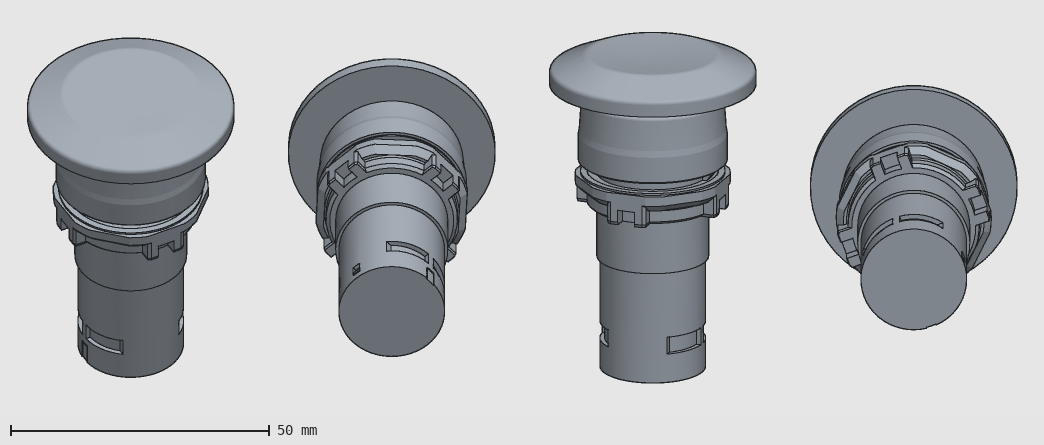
import cadquery as cq
import math

RIM_BOTTOM = 57.7
TOTAL_HEIGHT = 63.8
COLLAR_TOP = 55.5
COLLAR_BOTTOM = 42.05
NUT_TOP = 40.05
NUT_BOTTOM = 33.25
BODY_STEP = 22.6

CAP_RADIUS = 40.0 / 2
CAP_DISH_RADIUS = 12.4
CAP_DISH_DEPTH = 0.45
CAP_CONE_TOP_RADIUS = 13.6
CAP_CONE_ANGLE = math.radians(23.4)
CAP_RIM_FILLET = 1.0

NECK_RADIUS = 23.6 / 2
COLLAR_RADIUS = 28.9 / 2
COLLAR_STEP_RADIUS = 27.8 / 2
COLLAR_STEP = 0.4
COLLAR_BAND_TOP = 47.45
COLLAR_TAPER_BOTTOM = 48.75
COLLAR_TAPER_RADIUS = 14.2
COLLAR_SHOULDER_RADIUS = 13.85
COLLAR_TOP_FILLET = 0.9
BODY_RADIUS = 21.7 / 2
REAR_RADIUS = 20.5 / 2

NUT_SIDES = 8
NUT_ACROSS_FLATS = 28.9
NUT_CORNER_RADIUS = 15.0
NUT_RING_RADIUS = 28.0 / 2
NUT_RING_HEIGHT = 0.4
NUT_FLANGE_BOTTOM = 37.75
NUT_UNDERCUT = 1.4
HUB_RADIUS = 25.4 / 2
HUB_BOTTOM_RADIUS = 24.0 / 2
HUB_FLARE = 0.3
NUT_RECESS_RADIUS = HUB_RADIUS
NUT_RECESS_DEPTH = 0.3
LUG_COUNT = 4
LUG_WIDTH = 7.9
LUG_CORNER_WIDTH = 0.7
LUG_CORNER_DEPTH = 0.3
LUG_BEVEL_DEPTH = 0.2
BOTTOM_BEVEL_HEIGHT = 0.6
NOTCH_WIDTH = 3.45
NOTCH_HEIGHT = 3.0

TAB_WIDTH = 2.7
TAB_THICKNESS = 1.0
TAB_LENGTH = 3.2
TAB_LEAN = 35.0
TAB_TIP_Y = 12.05
TAB_TIP_Z = 41.15

SLOT_FLOOR_RADIUS = 9.3
SLOT_BOTTOM = 5.8
SLOT_HEIGHT = 3.45
SLOT_INNER_X = 0.7
SLOT_INNER_Y = 6.1
LABEL_WIDTH = 2.0
LABEL_HEIGHT = 4.0
LABEL_DEPTH = 0.2
POCKET_WIDTH = 1.6
POCKET_BOTTOM = 2.05
POCKET_RAMP_BOTTOM = 3.1
POCKET_TOP = 4.65
POCKET_SHALLOW = 0.2
POCKET_DEEP = 0.75
CUT_CLEARANCE = 0.65


def cylinder(radius, bottom, top):
    return cq.Workplane("XY").workplane(offset=bottom).circle(radius).extrude(top - bottom)


def revolve_profile(profile):
    """Turn a closed radius/height outline, drawn in XZ, around the Z axis."""
    return profile.close().revolve(360, (0, 0, 0), (0, 1, 0))


def make_cap():
    """Mushroom head with a dished top; both rounds run tangent into the cone."""
    sine = math.sin(CAP_CONE_ANGLE)
    cosine = math.cos(CAP_CONE_ANGLE)
    half_sine = math.sin(CAP_CONE_ANGLE / 2)
    half_cosine = math.cos(CAP_CONE_ANGLE / 2)
    top_round = (CAP_CONE_TOP_RADIUS - CAP_DISH_RADIUS) / sine
    cone_top_z = TOTAL_HEIGHT - top_round * (1 - cosine)
    top_round_middle = (
        CAP_DISH_RADIUS + top_round * half_sine,
        TOTAL_HEIGHT - top_round * (1 - half_cosine),
    )

    rim_center_r = CAP_RADIUS - CAP_RIM_FILLET
    cone_bottom_r = rim_center_r + CAP_RIM_FILLET * sine
    cone_bottom_z = cone_top_z - (cone_bottom_r - CAP_CONE_TOP_RADIUS) * math.tan(CAP_CONE_ANGLE)
    rim_center_z = cone_bottom_z - CAP_RIM_FILLET * cosine
    rim_middle_angle = (math.pi / 2 - CAP_CONE_ANGLE) / 2
    rim_middle = (
        rim_center_r + CAP_RIM_FILLET * math.cos(rim_middle_angle),
        rim_center_z + CAP_RIM_FILLET * math.sin(rim_middle_angle),
    )

    dish_sphere = (CAP_DISH_RADIUS**2 + CAP_DISH_DEPTH**2) / (2 * CAP_DISH_DEPTH)
    dish_middle_r = CAP_DISH_RADIUS / 2
    dish_bottom_z = TOTAL_HEIGHT - CAP_DISH_DEPTH
    dish_middle_z = dish_bottom_z + dish_sphere - math.sqrt(dish_sphere**2 - dish_middle_r**2)

    return revolve_profile(
        cq.Workplane("XZ")
        .moveTo(0, RIM_BOTTOM)
        .lineTo(CAP_RADIUS, RIM_BOTTOM)
        .lineTo(CAP_RADIUS, rim_center_z)
        .threePointArc(rim_middle, (cone_bottom_r, cone_bottom_z))
        .lineTo(CAP_CONE_TOP_RADIUS, cone_top_z)
        .threePointArc(top_round_middle, (CAP_DISH_RADIUS, TOTAL_HEIGHT))
        .threePointArc((dish_middle_r, dish_middle_z), (0, dish_bottom_z))
    )


def make_collar():
    """Bezel collar: straight band, tapered upper part and rounded top edge."""
    fillet_bottom = COLLAR_TOP - COLLAR_TOP_FILLET
    fillet_inner = COLLAR_SHOULDER_RADIUS - COLLAR_TOP_FILLET
    diagonal = COLLAR_TOP_FILLET * math.sqrt(0.5)
    band_bottom = COLLAR_BOTTOM + COLLAR_STEP
    return revolve_profile(
        cq.Workplane("XZ")
        .moveTo(0, COLLAR_BOTTOM)
        .lineTo(COLLAR_STEP_RADIUS, COLLAR_BOTTOM)
        .lineTo(COLLAR_STEP_RADIUS, band_bottom)
        .lineTo(COLLAR_RADIUS, band_bottom)
        .lineTo(COLLAR_RADIUS, COLLAR_BAND_TOP)
        .lineTo(COLLAR_TAPER_RADIUS, COLLAR_TAPER_BOTTOM)
        .lineTo(COLLAR_SHOULDER_RADIUS, fillet_bottom)
        .threePointArc((fillet_inner + diagonal, fillet_bottom + diagonal), (fillet_inner, COLLAR_TOP))
        .lineTo(0, COLLAR_TOP)
    )


def nut_octagon(bottom):
    """Octagon wire with flats facing the axes, at the given height."""
    corner_diameter = NUT_ACROSS_FLATS / math.cos(math.pi / NUT_SIDES)
    plane = cq.Workplane("XY").workplane(offset=bottom)
    return plane.transformed(rotate=(0, 0, 180 / NUT_SIDES)).polygon(NUT_SIDES, corner_diameter)


def make_nut_flange():
    """Octagonal flange with turned corners, a bevelled underside and a raised top ring."""
    flange_top = NUT_TOP - NUT_RING_HEIGHT
    undercut_bottom = NUT_FLANGE_BOTTOM - NUT_UNDERCUT
    octagon = nut_octagon(NUT_FLANGE_BOTTOM).extrude(flange_top - NUT_FLANGE_BOTTOM)
    octagon = octagon.union(nut_octagon(NUT_FLANGE_BOTTOM).extrude(-NUT_UNDERCUT, taper=45))
    turned = revolve_profile(
        cq.Workplane("XZ")
        .moveTo(0, undercut_bottom)
        .lineTo(NUT_CORNER_RADIUS - NUT_UNDERCUT, undercut_bottom)
        .lineTo(NUT_CORNER_RADIUS, NUT_FLANGE_BOTTOM)
        .lineTo(NUT_CORNER_RADIUS, flange_top)
        .lineTo(0, flange_top)
    )
    return octagon.intersect(turned).union(cylinder(NUT_RING_RADIUS, flange_top, NUT_TOP))


def make_hub():
    """Round hub, flared where it meets the flange and bevelled on its lower edge."""
    flare_top = NUT_FLANGE_BOTTOM - NUT_UNDERCUT
    return revolve_profile(
        cq.Workplane("XZ")
        .moveTo(0, NUT_BOTTOM)
        .lineTo(HUB_BOTTOM_RADIUS, NUT_BOTTOM)
        .lineTo(HUB_RADIUS, NUT_BOTTOM + BOTTOM_BEVEL_HEIGHT)
        .lineTo(HUB_RADIUS, flare_top - HUB_FLARE)
        .lineTo(HUB_RADIUS + HUB_FLARE, flare_top)
        .lineTo(0, flare_top)
    )


def make_lug():
    """Lug on the +X side, bevelled all round its foot."""
    face = NUT_ACROSS_FLATS / 2
    half_width = LUG_WIDTH / 2
    face_half_width = half_width - LUG_CORNER_WIDTH
    corner = face - LUG_CORNER_DEPTH
    bevel_top = NUT_BOTTOM + BOTTOM_BEVEL_HEIGHT
    bevel_angle = math.degrees(math.atan(LUG_BEVEL_DEPTH / BOTTOM_BEVEL_HEIGHT))
    shank = (
        cq.Workplane("XY")
        .workplane(offset=bevel_top)
        .polyline([
            (0, -half_width),
            (corner, -half_width),
            (face, -face_half_width),
            (face, face_half_width),
            (corner, half_width),
            (0, half_width),
        ])
        .close()
        .extrude(NUT_FLANGE_BOTTOM - bevel_top)
    )
    foot_outline = shank.faces("<Z").wires().toPending()
    foot = foot_outline.extrude(-BOTTOM_BEVEL_HEIGHT, taper=bevel_angle, combine=False)
    return shank.union(foot)


def make_notch():
    """Notch on the +X side that splits a lug and bites into the hub down to its bottom radius."""
    face = NUT_ACROSS_FLATS / 2
    return (
        cq.Workplane("XY")
        .workplane(offset=NUT_BOTTOM)
        .center(face, 0)
        .rect(face, NOTCH_WIDTH)
        .extrude(NOTCH_HEIGHT)
        .cut(cylinder(HUB_BOTTOM_RADIUS, NUT_BOTTOM, NUT_TOP))
    )


def make_nut():
    """Flange, hub and lugs together, with a shallow round recess in the top."""
    nut = make_nut_flange().union(make_hub())
    lug = make_lug()
    notch = make_notch()
    for index in range(LUG_COUNT):
        angle = index * 360 / LUG_COUNT
        nut = nut.union(lug.rotate((0, 0, 0), (0, 0, 1), angle))
        nut = nut.cut(notch.rotate((0, 0, 0), (0, 0, 1), angle))
    return nut.cut(cylinder(NUT_RECESS_RADIUS, NUT_TOP - NUT_RECESS_DEPTH, NUT_TOP))


def make_tab():
    """Tab on the +Y side, leaning outward and rooted in the nut."""
    return (
        cq.Workplane("XY")
        .box(TAB_WIDTH, TAB_THICKNESS, TAB_LENGTH)
        .translate((0, 0, -TAB_LENGTH / 2))
        .rotate((0, 0, 0), (1, 0, 0), -TAB_LEAN)
        .translate((0, TAB_TIP_Y, TAB_TIP_Z))
    )


def make_slot():
    """Slot in the +X +Y quarter: curved floor, walls square to the axes."""
    return (
        cq.Workplane("XY")
        .box(REAR_RADIUS, REAR_RADIUS, SLOT_HEIGHT, centered=False)
        .translate((SLOT_INNER_X, SLOT_INNER_Y, SLOT_BOTTOM))
        .cut(cylinder(SLOT_FLOOR_RADIUS, 0, BODY_STEP))
    )


def make_label_recess():
    """Shallow label recess on the -Y side, open at the bottom."""
    return (
        cq.Workplane("XY")
        .center(0, -REAR_RADIUS)
        .rect(LABEL_WIDTH, REAR_RADIUS)
        .extrude(LABEL_HEIGHT)
        .cut(cylinder(REAR_RADIUS - LABEL_DEPTH, 0, BODY_STEP))
    )


def make_latch_pocket():
    """Small pocket on the -X side whose floor ramps deeper toward the top."""
    outside = -REAR_RADIUS - CUT_CLEARANCE
    shallow_floor = -REAR_RADIUS + POCKET_SHALLOW
    deep_floor = -REAR_RADIUS + POCKET_DEEP
    return (
        cq.Workplane("XZ")
        .moveTo(outside, POCKET_BOTTOM)
        .lineTo(shallow_floor, POCKET_BOTTOM)
        .lineTo(shallow_floor, POCKET_RAMP_BOTTOM)
        .lineTo(deep_floor, POCKET_TOP)
        .lineTo(outside, POCKET_TOP)
        .close()
        .extrude(POCKET_WIDTH / 2, both=True)
    )


def make_rear_body():
    rear = cylinder(REAR_RADIUS, 0, BODY_STEP)
    slot = make_slot()
    opposite_slot = slot.mirror("YZ")
    for cutter in (slot, opposite_slot):
        rear = rear.cut(cutter).cut(cutter.mirror("XZ"))
    return rear.cut(make_label_recess()).cut(make_latch_pocket())


tab = make_tab()
result = (
    make_rear_body()
    .union(cylinder(BODY_RADIUS, BODY_STEP, COLLAR_BOTTOM))
    .union(make_nut())
    .union(tab)
    .union(tab.mirror("XZ"))
    .union(make_collar())
    .union(cylinder(NECK_RADIUS, COLLAR_TOP, RIM_BOTTOM))
    .union(make_cap())
)